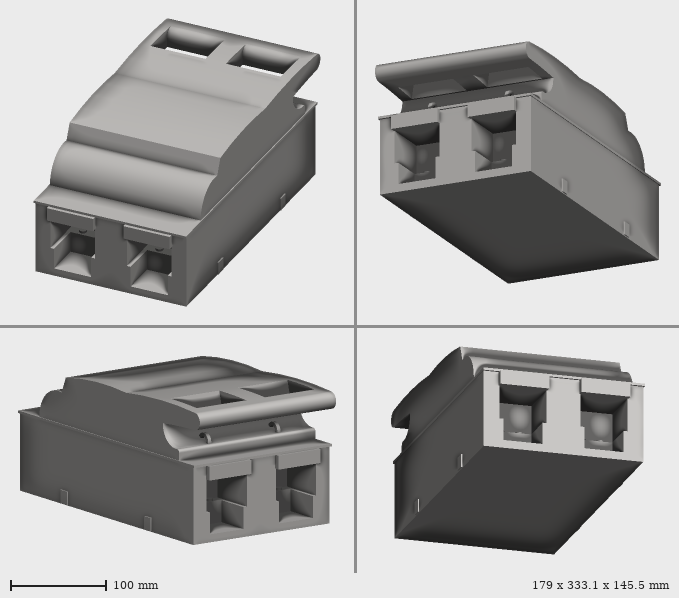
import cadquery as cq


BASE_WIDTH = 176.0
BASE_LENGTH = 314.5
BASE_HEIGHT = 83.5
PLATE_WIDTH = 178.0
PLATE_LENGTH = 320.0
PLATE_THICKNESS = 2.5
PLATE_TOP = BASE_HEIGHT + PLATE_THICKNESS

LATCH_SPAN = 179.0
LATCH_LENGTH = 11.3
LATCH_HEIGHT = 14.3
LATCH_BOTTOM = 1.0
LATCH_Y = 76.0

POLE_X = 44.5
TAB_WIDTH = 54.0
TAB_HEIGHT = 15.0
TAB_PROJECTION = 6.5
OPENING_TOP = BASE_HEIGHT - TAB_HEIGHT
LEDGE_HEIGHT = 32.3
UPPER_WIDTH = 52.0
UPPER_DEPTH = 53.3
LOWER_WIDTH = 43.3
LOWER_FLOOR = 8.5
LOWER_DEPTH = 40.0
PIN_DIAMETER = 8.3
PIN_HEIGHT = 2.5
PIN_X = 10.3

NOSE_ROOT_Y = 160.3
NOSE_TOP = 143.3
NOSE_BOTTOM = 124.5
NOSE_TIP = (169.3, (NOSE_TOP + NOSE_BOTTOM) / 2)
GRIP_CREST = (111.0, 145.5)
SADDLE = (35.3, 141.5)
BACK_CREST = (-19.3, 143.3)
BACK_EDGE = (-74.3, 137.5)
BACK_STEP_Y = -82.0
BULB_RADIUS = 33.5
BULB_CENTER = (-88.5, 87.0)
UNDERSIDE_MID = (133.3, 123.5)
FINGER_RADIUS = 23.3
FINGER_Y = 125.3
FINGER_Z = 121.3
TOE_Y = 131.5
TOE_RADIUS = 3.3

WINDOW_WIDTH = 64.0
WINDOW_X = 44.0
WINDOW_OUTER_Y = 147.5
WINDOW_OUTER_Z = 144.3
BAR_ROUND = 9.5
WINDOW_INNER_TOP_Y = 97.5
WINDOW_INNER_BOTTOM_Y = 104.3

LOOP_THICKNESS = 4.0
LOOP_Y = 117.3
LOOP_Z = 99.3
LOOP_OUTER_RADIUS = 9.0
LOOP_HOLE_RADIUS = 5.0


def block(width, length, height, x, y, bottom):
    """Box centred at x, y and standing on the given height."""
    return cq.Workplane("XY").box(width, length, height, (True, True, False)).translate((x, y, bottom))


def extrude_across(profile, width, x):
    """Extrude a YZ profile over the given width, centred on x."""
    return profile.extrude(width / 2, both=True).translate((x, 0, 0))


def make_handle():
    bulb_y, bulb_z = BULB_CENTER
    bulb_diagonal = BULB_RADIUS * 0.5 ** 0.5
    bulb_start_z = bulb_z + (BULB_RADIUS ** 2 - (BACK_STEP_Y - bulb_y) ** 2) ** 0.5
    bulb_foot_y = bulb_y - (BULB_RADIUS ** 2 - (PLATE_TOP - bulb_z) ** 2) ** 0.5
    finger_diagonal = FINGER_RADIUS * 0.5 ** 0.5
    toe_top = FINGER_Z - FINGER_RADIUS
    profile = (
        cq.Workplane("YZ")
        .moveTo(TOE_Y, BASE_HEIGHT)
        .lineTo(TOE_Y, toe_top - TOE_RADIUS)
        .radiusArc((TOE_Y - TOE_RADIUS, toe_top), -TOE_RADIUS)
        .lineTo(FINGER_Y, toe_top)
        .threePointArc(
            (FINGER_Y - finger_diagonal, FINGER_Z - finger_diagonal), (FINGER_Y - FINGER_RADIUS, FINGER_Z)
        )
        .threePointArc(UNDERSIDE_MID, (NOSE_ROOT_Y, NOSE_BOTTOM))
        .threePointArc(NOSE_TIP, (NOSE_ROOT_Y, NOSE_TOP))
        .threePointArc(GRIP_CREST, SADDLE)
        .threePointArc(BACK_CREST, BACK_EDGE)
        .lineTo(BACK_STEP_Y, bulb_start_z)
        .threePointArc((bulb_y - bulb_diagonal, bulb_z + bulb_diagonal), (bulb_foot_y, PLATE_TOP))
        .lineTo(bulb_foot_y, BASE_HEIGHT)
        .close()
    )
    return extrude_across(profile, BASE_WIDTH, 0)


def make_window(x):
    """Opening through the grip, with a rounded bar on its outer side and a sloping inner wall."""
    bar_y = WINDOW_OUTER_Y - BAR_ROUND
    above_handle = GRIP_CREST[1] + 3.3
    profile = (
        cq.Workplane("YZ")
        .moveTo(bar_y, FINGER_Z)
        .lineTo(bar_y, WINDOW_OUTER_Z - BAR_ROUND)
        .radiusArc((WINDOW_OUTER_Y, WINDOW_OUTER_Z), BAR_ROUND)
        .lineTo(WINDOW_OUTER_Y, above_handle)
        .lineTo(WINDOW_INNER_TOP_Y, above_handle)
        .lineTo(WINDOW_INNER_TOP_Y, GRIP_CREST[1])
        .lineTo(WINDOW_INNER_BOTTOM_Y, FINGER_Z)
        .close()
    )
    return extrude_across(profile, WINDOW_WIDTH, x)


def make_loop(x):
    """Sealing eye standing half out of the handle toe."""
    ring = cq.Workplane("YZ").center(LOOP_Y, LOOP_Z).circle(LOOP_OUTER_RADIUS).circle(LOOP_HOLE_RADIUS)
    return extrude_across(ring, LOOP_THICKNESS, x)


def make_cavity(x, end):
    """Stepped terminal cavity entering from the end face (end is -1 or +1), screw pins left standing."""
    face_y = end * BASE_LENGTH / 2
    upper_y = face_y - end * UPPER_DEPTH / 2
    lower_y = face_y - end * LOWER_DEPTH / 2
    pin_y = face_y - end * (LOWER_DEPTH + UPPER_DEPTH) / 2
    upper = block(UPPER_WIDTH, UPPER_DEPTH, OPENING_TOP - LEDGE_HEIGHT, x, upper_y, LEDGE_HEIGHT)
    lower = block(LOWER_WIDTH, LOWER_DEPTH, LEDGE_HEIGHT - LOWER_FLOOR, x, lower_y, LOWER_FLOOR)
    pins = (
        cq.Workplane("XY", origin=(x, pin_y, LEDGE_HEIGHT))
        .pushPoints([(-PIN_X, 0), (PIN_X, 0)])
        .circle(PIN_DIAMETER / 2)
        .extrude(PIN_HEIGHT)
    )
    return upper.cut(pins).union(lower)


result = block(BASE_WIDTH, BASE_LENGTH, BASE_HEIGHT, 0, 0, 0)
result = result.union(block(PLATE_WIDTH, PLATE_LENGTH, PLATE_THICKNESS, 0, 0, BASE_HEIGHT))
result = result.union(make_handle())

for latch_y in (-LATCH_Y, LATCH_Y):
    result = result.union(block(LATCH_SPAN, LATCH_LENGTH, LATCH_HEIGHT, 0, latch_y, LATCH_BOTTOM))

for side in (-1, 1):
    result = result.cut(make_window(side * WINDOW_X))
    result = result.union(make_loop(side * POLE_X))
    for end in (-1, 1):
        tab_y = end * (BASE_LENGTH + TAB_PROJECTION) / 2
        result = result.union(block(TAB_WIDTH, TAB_PROJECTION, TAB_HEIGHT, side * POLE_X, tab_y, OPENING_TOP))
        result = result.cut(make_cavity(side * POLE_X, end))